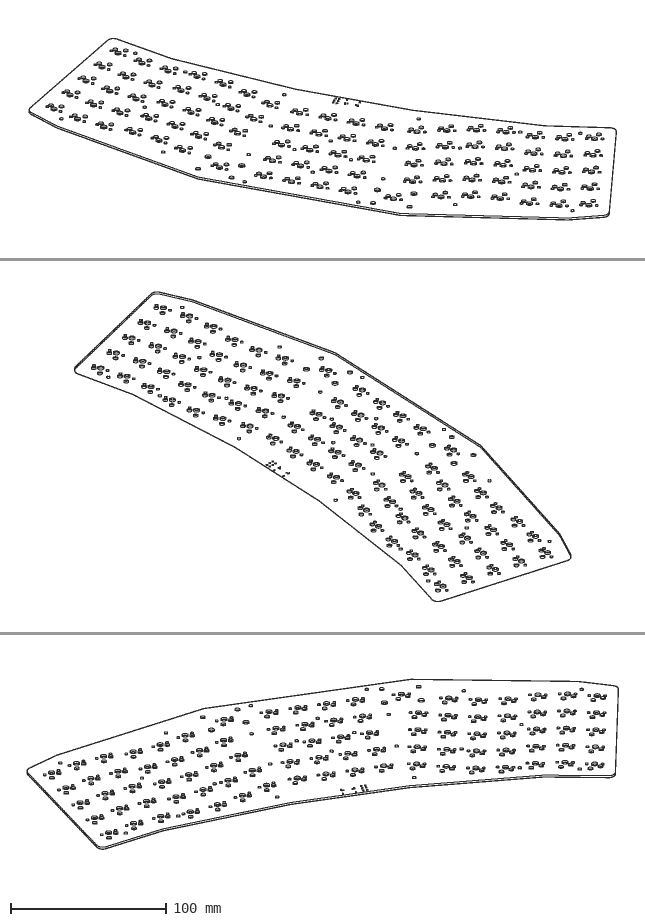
import cadquery as cq
import math


THICKNESS = 1.6
WIDTH = 135.0
CORNER_RADIUS = 4.3

BOTTOM_CORNER = (68.5, -WIDTH / 2)
WING_BOTTOM_CORNER = (172.5, -39.5)
OUTER_CORNER = (196.5, -28.0)
WING_TOP_CORNER = (170.5, 68.5)
BEND_CORNER = (126.0, 56.7)
TOP_CORNER = (39.5, 47.7)

ROWS = 5
KEY_PITCH = 76.3 / 4

CENTER_COLUMNS = 4
CENTER_BLOCK_Y = -16.0

WING_ANGLE = 15.0
WING_TOP_KEY = (49.5, 25.0)
COLUMN_RISES = [2.4, 1.35, -1.35, -KEY_PITCH / 4, -1.45, 1.45]

THUMB_KEY = (58.5, -52.8)
THUMB_ANGLE = WING_ANGLE / 2

POST_DIAMETER = 4.0
PEG_DIAMETER = 1.8
PEG_OFFSET = 5.0
PIN_DIAMETER = 3.0
PIN_POINTS = [(-3.8, 2.55), (2.55, 5.0)]

STABILIZER_SPACING = 24.0
CLIP_DIAMETER = 4.0
CLIP_RISE = 8.2
SCREW_DIAMETER = 3.05
SCREW_DROP = 7.0

MOUNT_DIAMETER = 2.2
MIRRORED_MOUNTS = [
    (150.0, 55.5),
    (113.0, 45.0),
    (81.7, 15.5),
    (42.0, 2.7),
    (125.5, -1.5),
    (KEY_PITCH, -18.5),
    (172.5, -30.5),
    (45.5, -33.0),
    (98.5, -47.0),
    (38.5, -63.5),
]
SINGLE_MOUNTS = [(-44.5, 39.5), (46.0, 39.5), (0.0, -1.75), (0.0, -39.5)]

SLOT_WIDTH = 0.6
SLOT_SPACING = 8.5
REAR_SLOT_LENGTH = 1.7
REAR_SLOT_Y = 42.0
FRONT_SLOT_LENGTH = 1.2
FRONT_SLOT_Y = 46.0
LOCATOR_DIAMETER = 0.65
LOCATOR_SPACING = 6.0
LOCATOR_Y = REAR_SLOT_Y + 0.5

HEADER_DIAMETER = 1.0
HEADER_PITCH = 2.55
HEADER_COLUMNS = 2
HEADER_ROWS = 3
HEADER_CENTER = (-10.5, 43.0)


def mirrored(points):
    """The points together with their mirror images across the YZ plane."""
    return points + [(-x, y) for x, y in points]


def placed(points, origin, angle):
    """The points turned by the angle in degrees and moved to the origin given."""
    cosine = math.cos(math.radians(angle))
    sine = math.sin(math.radians(angle))
    return [(origin[0] + x * cosine - y * sine, origin[1] + x * sine + y * cosine) for x, y in points]


def grid(columns, rows, pitch, center):
    """Points of a square grid around its centre."""
    left = -(columns - 1) * pitch / 2
    bottom = -(rows - 1) * pitch / 2
    points = [(left + i * pitch, bottom + j * pitch) for i in range(columns) for j in range(rows)]
    return placed(points, center, 0)


def wing_keys(side):
    """Key centres of one wing (side is -1 for left, 1 for right), turned with the wing."""
    points = []
    rise = 0
    for column, step in enumerate([0] + COLUMN_RISES):
        rise += step
        rows = ROWS - 1 if column == 0 else ROWS
        points += [(side * column * KEY_PITCH, rise - row * KEY_PITCH) for row in range(rows)]
    return placed(points, (side * WING_TOP_KEY[0], WING_TOP_KEY[1]), side * WING_ANGLE)


def switch_places():
    """Centre and angle of every switch."""
    places = [(key, 0) for key in grid(CENTER_COLUMNS, ROWS, KEY_PITCH, (0, CENTER_BLOCK_Y))]
    for side in (-1, 1):
        places += [(key, side * WING_ANGLE) for key in wing_keys(side)]
        places.append(((side * THUMB_KEY[0], THUMB_KEY[1]), side * THUMB_ANGLE))
    return places


def plate():
    """The blank plate with its four outer corners rounded."""
    right_half = [
        BOTTOM_CORNER,
        WING_BOTTOM_CORNER,
        OUTER_CORNER,
        WING_TOP_CORNER,
        BEND_CORNER,
        TOP_CORNER,
    ]
    left_half = [(-x, y) for x, y in reversed(right_half)]
    outline = cq.Workplane("XY", origin=(0, 0, -THICKNESS / 2)).polyline(right_half + left_half).close()
    blank = outline.extrude(THICKNESS)
    for x, y in mirrored([OUTER_CORNER, WING_TOP_CORNER]):
        blank = blank.edges(cq.NearestToPointSelector((x, y, 0))).fillet(CORNER_RADIUS)
    return blank


def drill(body, points, diameter):
    """Cut a round through hole at each point."""
    holes = cq.Workplane("XY").pushPoints(points).circle(diameter / 2)
    return body.cut(holes.extrude(THICKNESS, both=True))


def drill_switches(body):
    posts = []
    pegs = []
    pins = []
    for center, angle in switch_places():
        posts.append(center)
        pegs += placed(mirrored([(PEG_OFFSET, 0)]), center, angle)
        pins += placed(PIN_POINTS, center, angle)
    body = drill(body, posts, POST_DIAMETER)
    body = drill(body, pegs, PEG_DIAMETER)
    return drill(body, pins, PIN_DIAMETER)


def drill_stabilizers(body):
    clips = placed(mirrored([(STABILIZER_SPACING / 2, CLIP_RISE)]), THUMB_KEY, THUMB_ANGLE)
    screws = placed(mirrored([(STABILIZER_SPACING / 2, -SCREW_DROP)]), THUMB_KEY, THUMB_ANGLE)
    body = drill(body, mirrored(clips), CLIP_DIAMETER)
    return drill(body, mirrored(screws), SCREW_DIAMETER)


def cut_usb_socket(body):
    for length, y in ((REAR_SLOT_LENGTH, REAR_SLOT_Y), (FRONT_SLOT_LENGTH, FRONT_SLOT_Y)):
        slots = cq.Workplane("XY").pushPoints(mirrored([(SLOT_SPACING / 2, y)]))
        body = body.cut(slots.slot2D(length, SLOT_WIDTH, 90).extrude(THICKNESS, both=True))
    return drill(body, mirrored([(LOCATOR_SPACING / 2, LOCATOR_Y)]), LOCATOR_DIAMETER)


board = drill_switches(plate())
board = drill_stabilizers(board)
board = drill(board, mirrored(MIRRORED_MOUNTS) + SINGLE_MOUNTS, MOUNT_DIAMETER)
board = cut_usb_socket(board)
board = drill(board, grid(HEADER_COLUMNS, HEADER_ROWS, HEADER_PITCH, HEADER_CENTER), HEADER_DIAMETER)
result = board